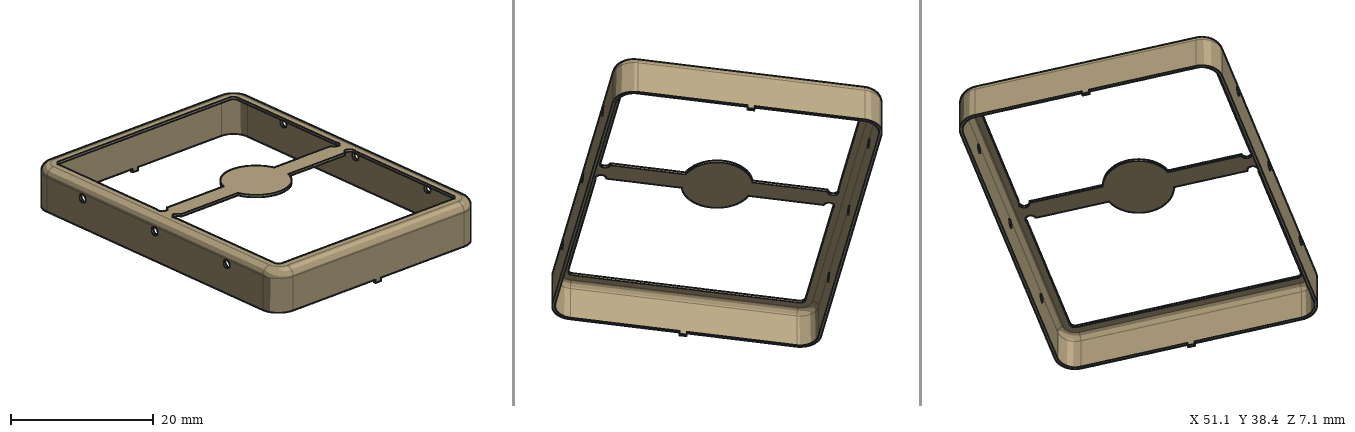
import cadquery as cq

length = 51.1
width = 38.4
total_height = 7.1

tab_height = 0.5
frame_height = total_height - tab_height
corner_radius = 3.0
rim_fillet = 1.3
wall = 0.4
top_thickness = 0.4
rim_width = 2.25

strip_width = 3.0
disc_diameter = 10.0
neck_width = 1.7
notch_radius = 0.75
notch_inset = 0.65

hole_diameter = 1.3
hole_spacing = 15.0
hole_depth_from_top = 2.05

tab_width = 1.0

opening_length = length - 2 * rim_width
opening_width = width - 2 * rim_width


def rounded_block(size_x, size_y, height, radius):
    """Block centred on Z, standing on Z = 0, with rounded vertical edges."""
    return cq.Workplane("XY").box(size_x, size_y, height, centered=(True, True, False)).edges("|Z").fillet(radius)


def make_shell():
    outer = rounded_block(length, width, frame_height, corner_radius).faces(">Z").edges().fillet(rim_fillet)
    cavity_height = frame_height - top_thickness
    cavity = rounded_block(length - 2 * wall, width - 2 * wall, cavity_height, corner_radius - wall)
    cavity = cavity.faces(">Z").edges().fillet(rim_fillet - wall)
    opening = rounded_block(opening_length, opening_width, frame_height, corner_radius - rim_width)
    return outer.cut(cavity).cut(opening)


def make_cross_strip():
    plane = cq.Workplane("XY").workplane(offset=frame_height - top_thickness)
    strip = plane.rect(strip_width, width - 2 * rim_fillet).extrude(top_thickness)
    disc = plane.circle(disc_diameter / 2).extrude(top_thickness)
    return strip.union(disc)


def make_notches():
    return (
        cq.Workplane("XY")
        .workplane(offset=frame_height - top_thickness)
        .rect(neck_width + 2 * notch_radius, opening_width - 2 * notch_inset, forConstruction=True)
        .vertices()
        .circle(notch_radius)
        .extrude(top_thickness)
    )


def make_wall_holes():
    return (
        cq.Workplane("XZ", origin=(0, 0, frame_height - hole_depth_from_top))
        .rarray(hole_spacing, 0.5, 3, 1)
        .circle(hole_diameter / 2)
        .extrude(width / 2, both=True)
    )


def make_tabs():
    """A small tab below the middle of each short wall."""
    return (
        cq.Workplane("XY", origin=(0, 0, -tab_height))
        .rarray(length - wall, 0.5, 2, 1)
        .rect(wall, tab_width)
        .extrude(2 * tab_height)
    )


result = (
    make_shell()
    .union(make_cross_strip())
    .cut(make_notches())
    .cut(make_wall_holes())
    .union(make_tabs())
)